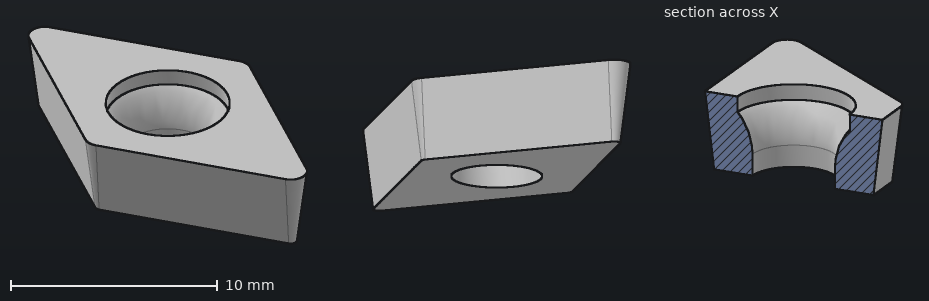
import cadquery as cq
import math

inscribed_circle = 9.525
thickness = 3.97
nose_angle = math.radians(55)
clearance_angle = 7
corner_radius = 0.8

mouth_radius = 3.0
mouth_depth = 0.8
seat_radius = 3.0
bore_radius = 2.2


def insert_body():
    """Rounded rhombus at the top face, narrowing downwards by the clearance angle."""
    side = inscribed_circle / math.sin(nose_angle)
    lean = side * math.cos(nose_angle)
    half_width = inscribed_circle / 2
    sharp_x = (side + lean) / 2
    blunt_x = (side - lean) / 2
    outline = [
        (-sharp_x, -half_width),
        (blunt_x, -half_width),
        (sharp_x, half_width),
        (-blunt_x, half_width),
        (-sharp_x, -half_width),
    ]
    rhombus = cq.Sketch().polygon(outline).vertices().fillet(corner_radius)
    return (
        cq.Workplane("XY", origin=(0, 0, thickness))
        .placeSketch(rhombus)
        .extrude(-thickness, taper=clearance_angle)
    )


def screw_hole():
    """Revolved hole whose convex seat runs tangentially into the bore."""
    seat_sweep = math.acos(1 - (mouth_radius - bore_radius) / seat_radius)
    seat_top = thickness - mouth_depth
    seat_bottom = seat_top - seat_radius * math.sin(seat_sweep)
    seat_middle = (
        bore_radius + seat_radius * (1 - math.cos(seat_sweep / 2)),
        seat_bottom + seat_radius * math.sin(seat_sweep / 2),
    )
    return (
        cq.Workplane("XZ")
        .lineTo(bore_radius, 0)
        .lineTo(bore_radius, seat_bottom)
        .threePointArc(seat_middle, (mouth_radius, seat_top))
        .lineTo(mouth_radius, thickness)
        .lineTo(0, thickness)
        .close()
        .revolve(360, (0, 0), (0, 1))
    )


result = insert_body().cut(screw_hole())